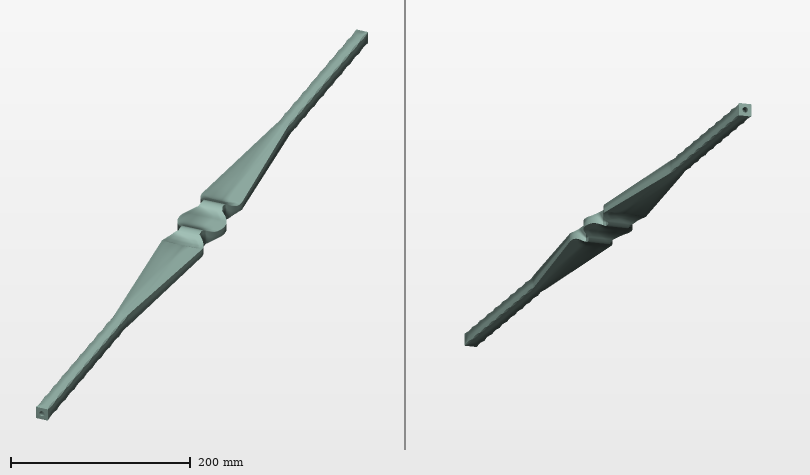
import cadquery as cq
import math

LENGTH = 900.0
BAR = 14.0
TIP_Y = 225.0

DENTS_PER_EDGE = 9
DENT_LENGTH = 24.0
DENT_DEPTH = 1.1

END_HOLE_D = 6.0
END_HOLE_DEPTH = 9.0

DISC_WIDTH = 55.0
DISC_R = DISC_WIDTH / 2
DISC_HALF_THICK = 4.5
DISC_FLAT_Y = 12.0
DISC_END_Y = 23.0

NECK_HALF_WIDTH = 13.0
NECK_START_Y = 29.0
SWELL_START_Y = 23.0
SWELL_END_Y = 39.0
SWELL_Y = (SWELL_START_Y + SWELL_END_Y) / 2
SWELL_HALF_LENGTH = (SWELL_END_Y - SWELL_START_Y) / 2
SWELL_HEIGHT = 22.5
SWELL_HALF_HEIGHT = SWELL_HEIGHT / 2
SWELL_SHOULDER_Z = 8.55

LEAF_HALF_WIDTH = 24.0
LEAF_TIP_HALF_WIDTH = BAR / 2
LEAF_SIDE_Y = 57.0
LEAF_SHOULDER_R = 23.0
LEAF_FACE_Y = 53.0
LEAF_ROOT_Z = 2.25
HOLLOW_R = 126.0
HOLLOW_DEPTH = HOLLOW_R - math.sqrt(HOLLOW_R**2 - LEAF_HALF_WIDTH**2)
FLARE_SECTIONS = 4


def mirrored(body, plane):
    """Join a body with its mirror image."""
    return body.union(body.mirror(plane))


def level_arc(flat, end, part):
    """Point at a fraction of the arc that leaves flat level in Y and climbs to end."""
    run = end[0] - flat[0]
    rise = end[1] - flat[1]
    radius = (run**2 + rise**2) / (2 * rise)
    angle = 2 * math.atan(rise / run) * part
    return flat[0] + radius * math.sin(angle), flat[1] + radius * (1 - math.cos(angle))


def plan_right_half():
    """Tall prism over the ornament's plan where X and Y are both positive."""
    disc_end_x = math.sqrt(DISC_R**2 - DISC_END_Y**2)
    half_turn = math.asin(DISC_END_Y / DISC_R) / 2
    disc_middle = (DISC_R * math.cos(half_turn), DISC_R * math.sin(half_turn))

    shoulder_x = LEAF_HALF_WIDTH - LEAF_SHOULDER_R
    shoulder_turn = math.acos((NECK_HALF_WIDTH - shoulder_x) / LEAF_SHOULDER_R)

    def shoulder_point(angle):
        return (
            shoulder_x + LEAF_SHOULDER_R * math.cos(angle),
            LEAF_SIDE_Y - LEAF_SHOULDER_R * math.sin(angle),
        )

    return (
        cq.Workplane("XY", origin=(0, 0, -SWELL_HALF_HEIGHT))
        .moveTo(0, 0)
        .lineTo(DISC_R, 0)
        .threePointArc(disc_middle, (disc_end_x, DISC_END_Y))
        .lineTo(NECK_HALF_WIDTH, NECK_START_Y)
        .lineTo(*shoulder_point(shoulder_turn))
        .threePointArc(shoulder_point(shoulder_turn / 2), (LEAF_HALF_WIDTH, LEAF_SIDE_Y))
        .lineTo(LEAF_TIP_HALF_WIDTH, TIP_Y)
        .lineTo(0, TIP_Y)
        .close()
        .extrude(2 * SWELL_HALF_HEIGHT)
    )


def swelling_point(y):
    """Point on the round crest of the neck swelling at distance y from the centre."""
    drop = SWELL_HALF_HEIGHT - SWELL_SHOULDER_Z
    radius = (SWELL_HALF_LENGTH**2 + drop**2) / (2 * drop)
    return y, SWELL_HALF_HEIGHT - radius + math.sqrt(radius**2 - (y - SWELL_Y) ** 2)


def middle_heights():
    """Upper half of the disc and swelling, straight across in X."""
    flat_end = (DISC_FLAT_Y, DISC_HALF_THICK)
    swelling_start = swelling_point(SWELL_START_Y)
    return (
        cq.Workplane("YZ", origin=(-DISC_R, 0, 0))
        .lineTo(0, DISC_HALF_THICK)
        .lineTo(*flat_end)
        .threePointArc(level_arc(flat_end, swelling_start, 0.5), swelling_start)
        .threePointArc(swelling_point(SWELL_Y), swelling_point(SWELL_END_Y))
        .lineTo(SWELL_END_Y, 0)
        .close()
        .extrude(2 * DISC_R)
    )


def hollow_section(y, centre_z, depth):
    """Upper half of a cross-section at y, hollowed below its upper corners by depth."""
    corner_z = centre_z + depth
    section = (
        cq.Workplane("XZ", origin=(0, y, 0))
        .moveTo(LEAF_HALF_WIDTH, 0)
        .lineTo(LEAF_HALF_WIDTH, corner_z)
    )
    if depth > 0:
        section = section.threePointArc((0, centre_z), (-LEAF_HALF_WIDTH, corner_z))
    else:
        section = section.lineTo(-LEAF_HALF_WIDTH, corner_z)
    return section.lineTo(-LEAF_HALF_WIDTH, 0).close().val()


def flare_heights():
    """Upper half of the blend from the straight swelling to the hollow leaf face."""
    root = (LEAF_FACE_Y, LEAF_ROOT_Z)
    swelling_end = swelling_point(SWELL_END_Y)
    sections = []
    for index in range(FLARE_SECTIONS):
        part = index / (FLARE_SECTIONS - 1)
        y, centre_z = level_arc(root, swelling_end, 1 - part)
        sections.append(hollow_section(y, centre_z, HOLLOW_DEPTH * part))
    return cq.Workplane(cq.Solid.makeLoft(sections))


def leaf_heights():
    """Upper half of a leaf face, rising to the bar and trimmed level with its top."""
    root = hollow_section(LEAF_FACE_Y, LEAF_ROOT_Z, HOLLOW_DEPTH)
    tip = hollow_section(TIP_Y, BAR / 2, HOLLOW_DEPTH)
    right_half = cq.Workplane("XY").box(LEAF_HALF_WIDTH, LENGTH, BAR)
    right_half = right_half.translate((LEAF_HALF_WIDTH / 2, 0, 0))
    right_face = cq.Workplane(cq.Solid.makeLoft([root, tip], True)).intersect(right_half)
    return mirrored(right_face, "YZ")


def dented_bar():
    """One end bar, its edges dented at an even pitch with round hollows lying across each corner."""
    length = LENGTH / 2 - TIP_Y
    pitch = length / DENTS_PER_EDGE
    edge_z = BAR / math.sqrt(2)
    cutters = cq.Workplane("YZ", origin=(-BAR / 2, 0, 0))
    for index in range(DENTS_PER_EDGE):
        middle_y = TIP_Y + (index + 0.5) * pitch
        start_y = middle_y - DENT_LENGTH / 2
        end_y = middle_y + DENT_LENGTH / 2
        cutters = (
            cutters.moveTo(start_y, edge_z)
            .threePointArc((middle_y, edge_z - DENT_DEPTH), (end_y, edge_z))
            .lineTo(end_y, BAR)
            .lineTo(start_y, BAR)
            .close()
        )
    cutters = cutters.extrude(BAR)
    bar = cq.Workplane("XY").box(BAR, length, BAR).translate((0, TIP_Y + length / 2, 0))
    for corner in range(4):
        bar = bar.cut(cutters.rotate((0, 0, 0), (0, 1, 0), 45 + 90 * corner))
    return bar.faces(">Y").workplane(centerOption="CenterOfBoundBox").hole(END_HOLE_D, END_HOLE_DEPTH)


plan = mirrored(plan_right_half(), "YZ")
upper_heights = middle_heights().union(flare_heights()).union(leaf_heights())
heights = mirrored(upper_heights, "XY")
half_ornament = plan.intersect(heights)

result = mirrored(half_ornament.union(dented_bar()), "XZ")